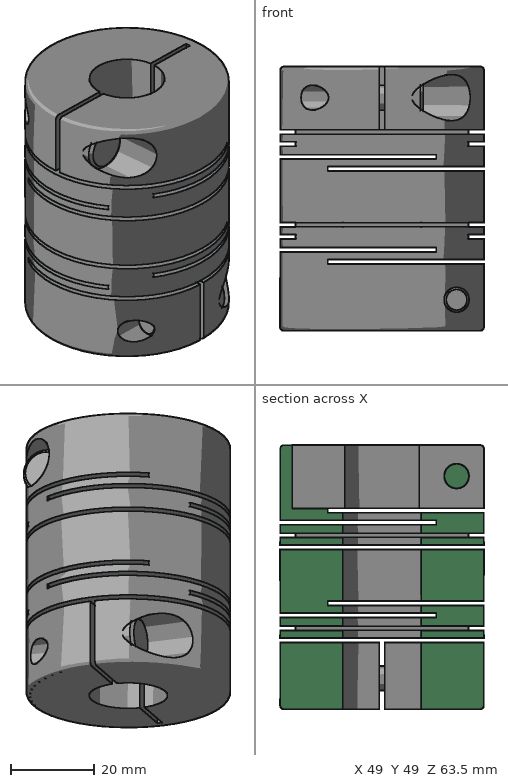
import cadquery as cq


length = 63.5
outer_radius = 24.5
rim_fillet = 1.0
bore_radius = 9.0
wide_bore_radius = 9.4

slot_height = 1.0
web_offset = 13.0
slot_pitch = 2.85
pair_pitch = 6.0
group_count = 2
group_pitch = 22.3
group_height = pair_pitch + slot_pitch + slot_height

upper_hub_height = 15.25
lower_hub_height = length - upper_hub_height - (group_count - 1) * group_pitch - group_height

slit_width = 1.2
slit_end = 21.5

screw_offset = 17.9
screw_depth = 7.5
shank_radius = 3.0
head_radius = 5.5
head_seat = 3.9
head_top = 9.9
head_chamfer = 0.75
tip_position = -12.45
tip_chamfer = 0.5


def make_body():
    body = cq.Workplane("XY").circle(outer_radius).extrude(length)
    body = body.faces("<Z or >Z").edges().fillet(rim_fillet)
    bore = cq.Workplane("XY").circle(bore_radius).extrude(length)
    wide_bore = cq.Workplane("XY").circle(wide_bore_radius).extrude(length - upper_hub_height)
    return body.cut(bore).cut(wide_bore)


def cross_slot(top, angle):
    """Slot open towards -Y before turning by angle about Z, with its upper face at height top."""
    return (
        cq.Workplane("XY")
        .box(2 * outer_radius, outer_radius + web_offset, slot_height, centered=(True, False, False))
        .translate((0, -outer_radius, top - slot_height))
        .rotate((0, 0, 0), (0, 0, 1), angle)
    )


def slot_group(top):
    """Two opposed slots along Y above two opposed slots along X."""
    slots = cross_slot(top, 0)
    slots = slots.union(cross_slot(top - slot_pitch, 180))
    slots = slots.union(cross_slot(top - pair_pitch, -90))
    return slots.union(cross_slot(top - pair_pitch - slot_pitch, 90))


def rod_along_x(radius, start, end):
    """Cylinder on the axis of the upper clamp screw."""
    return (
        cq.Workplane("YZ", origin=(start, -screw_offset, length - screw_depth))
        .circle(radius)
        .extrude(end - start)
    )


def clamp_cuts(hub_height):
    """Slit, threaded hole and counterbore of the upper hub, the slit being hub_height deep."""
    slit = (
        cq.Workplane("XY")
        .box(slit_width, outer_radius + slit_end, hub_height, centered=(True, False, False))
        .translate((0, -outer_radius, length - hub_height))
    )
    threaded_hole = rod_along_x(shank_radius, -outer_radius, head_seat)
    counterbore = rod_along_x(head_radius, head_seat, outer_radius)
    return slit.union(threaded_hole).union(counterbore)


def clamp_screw():
    """Screw of the upper hub, filling its hole from the tip to the top of the head."""
    shank = rod_along_x(shank_radius, tip_position, head_seat).faces("<X").chamfer(tip_chamfer)
    head = rod_along_x(head_radius, head_seat, head_top).faces(">X").chamfer(head_chamfer)
    return shank.union(head)


def at_lower_hub(shape):
    """Flip a feature of the upper hub to the lower hub and give it a quarter turn about Z."""
    flipped = shape.mirror("XY").translate((0, 0, length))
    return flipped.rotate((0, 0, 0), (0, 0, 1), 90)


result = make_body()
for group in range(group_count):
    result = result.cut(slot_group(length - upper_hub_height - group * group_pitch))

result = result.cut(clamp_cuts(upper_hub_height)).cut(at_lower_hub(clamp_cuts(lower_hub_height)))
result = result.union(clamp_screw()).union(at_lower_hub(clamp_screw()))